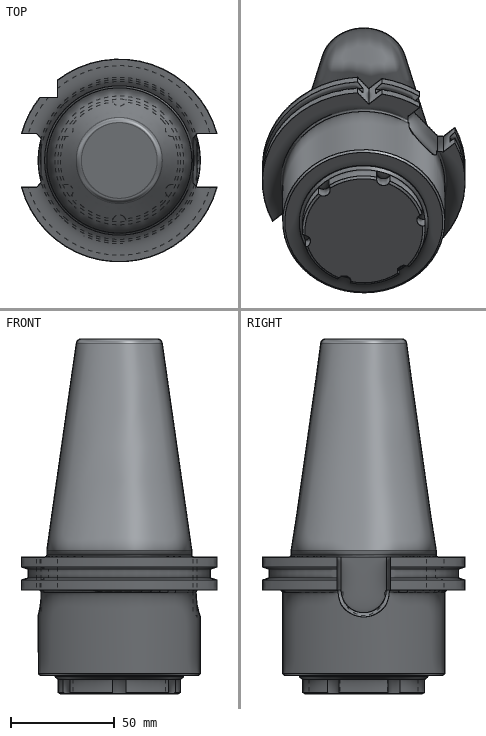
import cadquery as cq


gauge_diameter = 69.85
taper_length = 101.75
end_diameter = 40.8
end_fillet = 2.5

flange_diameter = 97.5
flange_top = -3.2
flange_thickness = 15.9
flange_bottom = flange_top - flange_thickness
neck_fillet = 1.0

groove_floor_diameter = 91.25
groove_centre = -11.1
groove_mouth = 6.3
groove_floor = 4.2

slot_width = 25.7
left_floor = 37.7
right_floor = 35.5
slot_floor_chamfer = 2.0
notch_x = 29.8
notch_y = 30.3

nose = -69.0
body_diameter = 78.0
body_bottom = nose + 8.8
body_chamfer = 1.0
collar_diameter = 62.0
collar_height = 0.5
nut_diameter = 59.0
nut_top = nose + 7.0
nut_chamfer_height = 0.8
nut_chamfer_width = 1.2
spanner_slots = 6
spanner_slot_radius = 3.3

flange_radius = flange_diameter / 2
body_radius = body_diameter / 2


def make_turned_body():
    """Taper, flange, body and nut as one revolved outline."""
    gauge_radius = gauge_diameter / 2
    end_radius = end_diameter / 2
    nut_radius = nut_diameter / 2
    collar_radius = collar_diameter / 2
    nose_to_body = [
        (nut_radius - nut_chamfer_width, nose),
        (nut_radius, nose + nut_chamfer_height),
        (nut_radius, nut_top),
        (collar_radius, body_bottom - collar_height),
        (collar_radius, body_bottom),
        (body_radius - body_chamfer, body_bottom),
        (body_radius, body_bottom + body_chamfer),
        (body_radius, flange_bottom - neck_fillet),
    ]
    outline = (
        cq.Workplane("XZ")
        .moveTo(0, nose)
        .polyline(nose_to_body, includeCurrent=True)
        .tangentArcPoint((neck_fillet, neck_fillet))
        .lineTo(flange_radius, flange_bottom)
        .lineTo(flange_radius, flange_top)
        .lineTo(gauge_radius + neck_fillet, flange_top)
        .tangentArcPoint((-neck_fillet, neck_fillet))
        .lineTo(gauge_radius, 0)
        .lineTo(end_radius, taper_length)
        .lineTo(0, taper_length)
        .close()
    )
    turned = outline.revolve(360, (0, 0), (0, 1))
    return turned.faces(">Z").edges().fillet(end_fillet)


def make_gripper_groove():
    """Ring with a trapezoid section that cuts the groove in the flange rim."""
    floor_radius = groove_floor_diameter / 2
    half_mouth = groove_mouth / 2
    half_floor = groove_floor / 2
    section = [
        (floor_radius, groove_centre - half_floor),
        (flange_radius, groove_centre - half_mouth),
        (flange_radius, groove_centre + half_mouth),
        (floor_radius, groove_centre + half_floor),
    ]
    return cq.Workplane("XZ").polyline(section).close().revolve(360, (0, 0), (0, 1))


def make_drive_slot(floor_distance, side):
    """Slot cutter at +X (side = 1) or -X (side = -1); its round end is centred on the flange underside."""
    half_width = slot_width / 2
    cutter = (
        cq.Workplane("YZ", origin=(floor_distance, 0, 0))
        .moveTo(-half_width, flange_top)
        .lineTo(-half_width, flange_bottom)
        .threePointArc((0, flange_bottom - half_width), (half_width, flange_bottom))
        .lineTo(half_width, flange_top)
        .close()
        .extrude(flange_radius - floor_distance)
    )
    cutter = cutter.faces("<X").edges("not >Z").chamfer(slot_floor_chamfer)
    if side < 0:
        cutter = cutter.mirror("YZ")
    return cutter


def make_orientation_notch():
    """Square corner cut through the flange at -X, +Y."""
    size = flange_radius
    return (
        cq.Workplane("XY", origin=(-notch_x, notch_y, flange_bottom))
        .rect(-size, size, centered=False)
        .extrude(flange_thickness)
    )


def make_spanner_slots():
    """Round-bottomed axial slots around the nut, the first one facing -Y."""
    return (
        cq.Workplane("XY", origin=(0, 0, nose))
        .polarArray(nut_diameter / 2, -90, 360, spanner_slots)
        .circle(spanner_slot_radius)
        .extrude(nut_top - nose)
    )


result = (
    make_turned_body()
    .cut(make_gripper_groove())
    .cut(make_drive_slot(left_floor, -1))
    .cut(make_drive_slot(right_floor, 1))
    .cut(make_orientation_notch())
    .cut(make_spanner_slots())
)